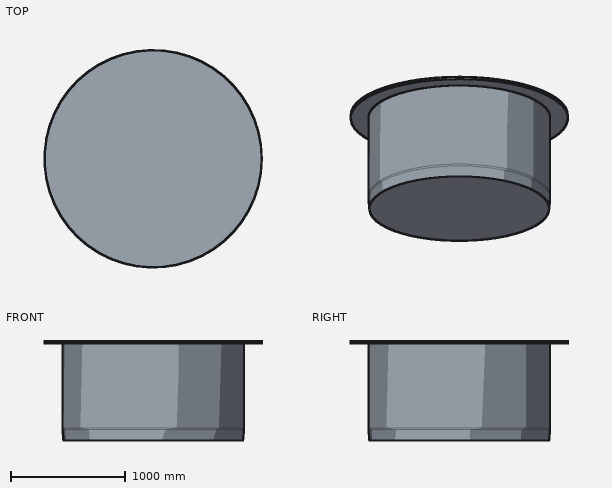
import cadquery as cq
import math

total_height = 870.0
lid_diameter = 1900.0
lid_thickness = 23.0

drum_diameter = 1590.0
foot_height = 95.0
bend_height = 17.0
foot_taper = math.radians(5)

drum_height = total_height - lid_thickness
drum_radius = drum_diameter / 2
bend_radius = bend_height / math.sin(foot_taper)
foot_top_radius = drum_radius - bend_radius * (1 - math.cos(foot_taper))
foot_radius = foot_top_radius - foot_height * math.tan(foot_taper)


def make_drum():
    """Solid drum standing on Z = 0, turned about the Z axis."""
    return (
        cq.Workplane("XZ")
        .lineTo(foot_radius, 0)
        .lineTo(foot_top_radius, foot_height)
        .radiusArc((drum_radius, foot_height + bend_height), -bend_radius)
        .lineTo(drum_radius, drum_height)
        .lineTo(0, drum_height)
        .close()
        .revolve(360, (0, 0, 0), (0, 1, 0))
    )


def make_lid():
    """Flat round lid resting on the drum and overhanging it all round."""
    return cq.Workplane("XY").workplane(offset=drum_height).circle(lid_diameter / 2).extrude(lid_thickness)


drum = make_drum()
lid = make_lid()

result = cq.Compound.makeCompound([drum.val(), lid.val()])